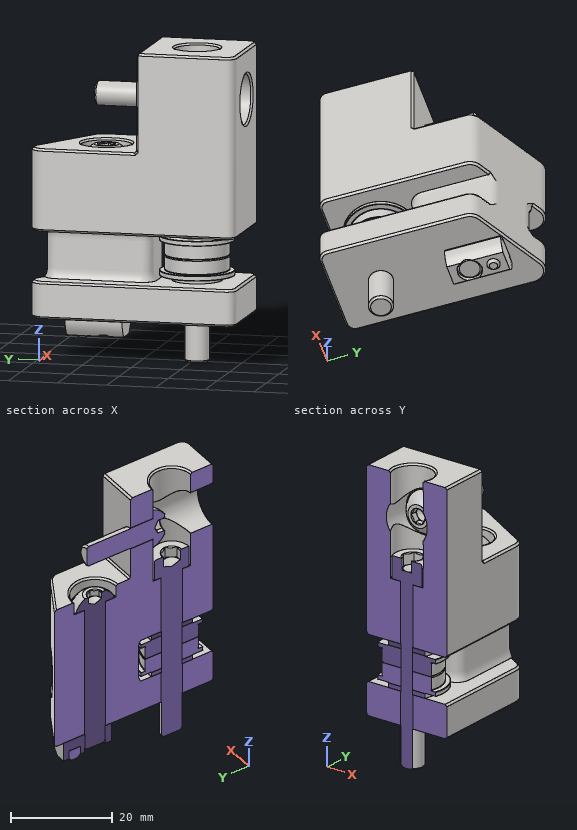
import cadquery as cq
import math

width = 20.0
left_depth = 44.05
rear_slant = 30
rear_radius = 3.0
front_radius = 2.0
edge_chamfer = 0.45
holder_height = 54.1
plate_thickness = 7.5
pulley_gap = 10.0
step_depth = 20.0
step_height = 34.15
step_corner_chamfer = 0.4

waist_front = 18.0
waist_width = 10.95
waist_radius = 2.4
flare_height = 1.9
flare_reach = 0.5

thread_diameter = 5.0
thread_end_chamfer = 0.45
button_head_diameter = 9.5
button_head_height = 2.8
button_flat_diameter = 5.0
button_socket_across_flats = 3.0
button_socket_depth = 1.6
button_counterbore = 10.0
cap_head_diameter = 8.5
cap_head_height = 5.0
cap_head_edge = 0.5
cap_socket_across_flats = 4.0
cap_socket_depth = 2.5
cap_counterbore = 8.95
counterbore_chamfer = 0.4
socket_cone_depth = 0.75
socket_countersink_depth = 0.25

axle_y = 10.0
axle_protrusion = 8.9
axle_length = 40.0
mount_screw_y = 28.5
mount_screw_length = 35.0
mount_counterbore_depth = 3.0
tension_screw_z = 44.1
tension_screw_length = 16.0
tension_seat_y = 14.5

spacer_diameter = 10.0
spacer_thickness = 1.0
bearing_diameter = 13.0
bearing_flange_diameter = 15.0
bearing_flange_thickness = 1.0
bearing_edge = 0.2
bearing_flange_edge = 0.095
bearing_relief = 0.1

nut_length = 11.65
nut_middle_y = 30.25
nut_half_width = 3.65
nut_height = 4.4
nut_rib_width = 4.4
nut_shoulder_drop = 0.4
nut_shoulder_bevel = 0.25
nut_flank_start = 1.0
nut_flank_end = 3.85
nut_flank_half_width = 2.65
nut_flank_radius = 4.55
nut_foot_half_width = 2.2
detent_middle_y = 33.4
detent_diameter = 2.65
detent_tip_diameter = 1.65
detent_protrusion = 0.6
detent_depth = 1.9

margin = 0.05
half_width = width / 2
block_bottom = plate_thickness + pulley_gap
axle_seat_z = axle_length - axle_protrusion
mount_seat_z = step_height - mount_counterbore_depth
bearing_height = (pulley_gap - 2 * spacer_thickness) / 2


def rear_y(x):
    """Y of the unrounded slanted rear face at a given X."""
    return left_depth - (x + half_width) * math.tan(math.radians(rear_slant))


def round_corners(prism, front, rear):
    """Round the two front and the two rear vertical edges of a prism."""
    prism = prism.edges("|Z and <Y").fillet(front)
    return prism.edges("|Z").edges(">Y or (>X and (not <Y))").fillet(rear)


def plan_prism(bottom, height):
    """Vertical prism with the rounded plan outline of the holder."""
    outline = [
        (-half_width, 0),
        (half_width, 0),
        (half_width, rear_y(half_width)),
        (-half_width, rear_y(-half_width)),
    ]
    prism = cq.Workplane("XY").workplane(offset=bottom).polyline(outline).close().extrude(height)
    return round_corners(prism, front_radius, rear_radius)


def base_plate():
    return plan_prism(0, plate_thickness).faces("<Z or >Z").chamfer(edge_chamfer)


def upper_block():
    """Tall front column with a lower step behind it and chamfered rims."""
    block = plan_prism(block_bottom, holder_height - block_bottom)
    corner = step_corner_chamfer
    step_side = [
        (step_depth, holder_height),
        (step_depth, step_height + corner),
        (step_depth + corner, step_height),
        (left_depth, step_height),
        (left_depth, holder_height),
    ]
    block = block.cut(cq.Workplane("YZ").polyline(step_side).close().extrude(half_width, both=True))

    inner_edges = cq.selectors.BoxSelector(
        (-corner, step_depth - corner, step_height - corner),
        (corner, step_depth + 2 * corner, step_height + 2 * corner),
    )
    wall_edges = cq.selectors.BoxSelector(
        (-width, step_depth - margin, step_height + 2 * corner),
        (width, step_depth + margin, holder_height - margin),
    )
    level_edges = cq.selectors.StringSyntaxSelector("not |Z")
    return block.edges(level_edges - inner_edges + wall_edges).chamfer(edge_chamfer)


def waist():
    """Pillar flush with the slanted rear face, its ends flaring out along arcs."""
    half = waist_width / 2
    outline = [(-half, waist_front), (half, waist_front), (half, rear_y(half)), (-half, rear_y(-half))]
    middle_z = plate_thickness + pulley_gap / 2

    flare_radius = (flare_height**2 + flare_reach**2) / (2 * flare_reach)
    fillet_foot_z = plate_thickness + flare_height - flare_radius
    pillar = cq.Workplane("XY").workplane(offset=fillet_foot_z).polyline(outline).close()
    pillar = pillar.extrude(middle_z - fillet_foot_z)
    pillar = round_corners(pillar, waist_radius, waist_radius)
    foot = cq.Workplane("XY").workplane(offset=fillet_foot_z).center(0, left_depth / 2)
    pillar = pillar.union(foot.rect(3 * width, 3 * left_depth).extrude(-flare_height))
    root_edges = cq.selectors.BoxSelector(
        (-half - margin, waist_front - margin, fillet_foot_z - margin),
        (half + margin, left_depth, fillet_foot_z + margin),
    )
    pillar = pillar.edges(root_edges).fillet(flare_radius)

    lower_z = plate_thickness - edge_chamfer
    lower_half = pillar.intersect(plan_prism(lower_z, middle_z - lower_z))
    return lower_half.union(lower_half.mirror("XY", (0, 0, middle_z)))


def socket(across_flats, depth, head_height):
    """Hexagon socket with a countersunk mouth and a conical bottom, sunk from the top of a head."""
    corner_diameter = across_flats / math.cos(math.radians(30))
    floor = cq.Workplane("XY").workplane(offset=head_height - depth)
    hexagon = floor.polygon(6, corner_diameter).extrude(depth)
    cone = cq.Solid.makeCone(
        across_flats / 2, 0, socket_cone_depth, cq.Vector(0, 0, head_height - depth), cq.Vector(0, 0, -1)
    )
    countersink = cq.Solid.makeCone(
        corner_diameter / 2,
        across_flats / 2,
        socket_countersink_depth,
        cq.Vector(0, 0, head_height),
        cq.Vector(0, 0, -1),
    )
    return hexagon.union(cq.Workplane(cone)).union(cq.Workplane(countersink))


def shank(length):
    rod = cq.Workplane("XY").circle(thread_diameter / 2).extrude(-length)
    return rod.faces("<Z").chamfer(thread_end_chamfer)


def button_screw(length):
    """Screw with a domed head that is flat on top."""
    rim = button_head_diameter / 2
    flat = button_flat_diameter / 2
    sphere_z = (flat**2 + button_head_height**2 - rim**2) / (2 * button_head_height)
    sphere_radius = math.hypot(rim, sphere_z)
    middle_angle = (math.atan2(-sphere_z, rim) + math.atan2(button_head_height - sphere_z, flat)) / 2
    dome_middle = (
        sphere_radius * math.cos(middle_angle),
        sphere_z + sphere_radius * math.sin(middle_angle),
    )
    head = (
        cq.Workplane("XZ")
        .lineTo(rim, 0)
        .threePointArc(dome_middle, (flat, button_head_height))
        .lineTo(0, button_head_height)
        .close()
        .revolve(360, (0, 0), (0, 1))
    )
    screw = head.union(shank(length))
    return screw.cut(socket(button_socket_across_flats, button_socket_depth, button_head_height))


def cap_screw(length):
    """Screw with a cylindrical head."""
    head = cq.Workplane("XY").circle(cap_head_diameter / 2).extrude(cap_head_height)
    head = head.faces(">Z").edges().fillet(cap_head_edge)
    screw = head.union(shank(length))
    return screw.cut(socket(cap_socket_across_flats, cap_socket_depth, cap_head_height))


def screw_hole(counterbore, depth, length):
    """Cutter for a counterbore with a chamfered mouth and a hole as wide as the thread."""
    mouth = counterbore / 2 + counterbore_chamfer
    chamfer = cq.Solid.makeCone(
        mouth, counterbore / 2, counterbore_chamfer, cq.Vector(0, 0, depth), cq.Vector(0, 0, -1)
    )
    bore = cq.Workplane("XY").circle(counterbore / 2).extrude(depth)
    bore = bore.union(cq.Workplane("XY").circle(thread_diameter / 2).extrude(-length))
    return bore.union(cq.Workplane(chamfer))


def at_axle(part):
    return part.translate((0, axle_y, axle_seat_z))


def at_mount(part):
    return part.translate((0, mount_screw_y, mount_seat_z))


def at_tension(part):
    return part.rotate((0, 0, 0), (1, 0, 0), 90).translate((0, tension_seat_y, tension_screw_z))


def holder():
    """Base plate, waist and upper block in one piece, with the holes of the three screws."""
    body = base_plate().union(waist()).union(upper_block())
    body = body.cut(at_axle(screw_hole(cap_counterbore, holder_height - axle_seat_z, axle_length)))
    body = body.cut(at_mount(screw_hole(button_counterbore, mount_counterbore_depth, mount_seat_z)))
    return body.cut(at_tension(screw_hole(button_counterbore, tension_seat_y, tension_screw_length)))


def spacer(bottom):
    ring = cq.Workplane("XY").circle(spacer_diameter / 2).circle(thread_diameter / 2)
    return ring.extrude(spacer_thickness).translate((0, axle_y, bottom))


def bearing():
    """Bearing with its flange at the bottom, at Z = 0, and a relief groove beside the flange."""
    flange = cq.Workplane("XY").circle(bearing_flange_diameter / 2).extrude(bearing_flange_thickness)
    flange = flange.faces("<Z or >Z").chamfer(bearing_flange_edge)
    drum = cq.Workplane("XY").circle(bearing_diameter / 2).extrude(bearing_height)
    drum = drum.faces(">Z").chamfer(bearing_edge)
    bore = cq.Workplane("XY").circle(thread_diameter / 2).extrude(bearing_height)
    relief = (
        cq.Workplane("XY").workplane(offset=bearing_flange_thickness)
        .circle(bearing_diameter / 2).circle(bearing_diameter / 2 - bearing_relief)
        .extrude(bearing_relief)
    )
    return flange.union(drum).cut(bore).cut(relief)


def bearing_pair():
    """Two bearings back to back, with their flanges outward."""
    middle_z = plate_thickness + pulley_gap / 2
    lower = bearing().translate((0, axle_y, middle_z - bearing_height))
    upper = lower.mirror("XY", (0, 0, middle_z))
    return [lower, upper]


def detent_pin():
    """Round pin sunk into the underside of the nut, with a tapered tip that stands out."""
    tip = detent_tip_diameter / 2
    outer = detent_diameter / 2
    profile = [
        (0, detent_depth),
        (outer, detent_depth),
        (outer, 0),
        (tip, -detent_protrusion),
        (0, -detent_protrusion),
    ]
    pin = cq.Workplane("XZ").polyline(profile).close().revolve(360, (0, 0), (0, 1))
    return pin.translate((0, detent_middle_y, -nut_height))


def slot_nut():
    """Nut with curved flanks that hangs below the base plate by a narrow rib."""
    rib = nut_rib_width / 2
    flank_bow = math.acos(1 - (nut_half_width - nut_flank_half_width) / nut_flank_radius) / 2
    bow_x = nut_half_width - nut_flank_radius * (1 - math.cos(flank_bow))
    bow_z = -nut_flank_start - nut_flank_radius * math.sin(flank_bow)
    right = (
        cq.Workplane("XZ")
        .lineTo(rib, 0)
        .lineTo(rib, -nut_shoulder_drop)
        .lineTo(nut_half_width - nut_shoulder_bevel, -nut_shoulder_drop)
        .lineTo(nut_half_width, -nut_flank_start)
        .threePointArc((bow_x, bow_z), (nut_flank_half_width, -nut_flank_end))
        .lineTo(nut_foot_half_width, -nut_height)
        .lineTo(0, -nut_height)
        .close()
        .extrude(nut_length / 2, both=True)
        .translate((0, nut_middle_y, 0))
    )
    nut = right.union(right.mirror("YZ"))
    hole = cq.Workplane("XY").circle(thread_diameter / 2).extrude(-nut_height)
    return nut.cut(hole.translate((0, mount_screw_y, 0))).cut(detent_pin())


spacers = [spacer(bottom) for bottom in (plate_thickness, block_bottom - spacer_thickness)]
bodies = [
    holder(),
    at_axle(cap_screw(axle_length)),
    at_mount(button_screw(mount_screw_length)),
    at_tension(button_screw(tension_screw_length)),
    *spacers,
    *bearing_pair(),
    slot_nut(),
    detent_pin(),
]
result = cq.Compound.makeCompound([body.solids().val() for body in bodies])